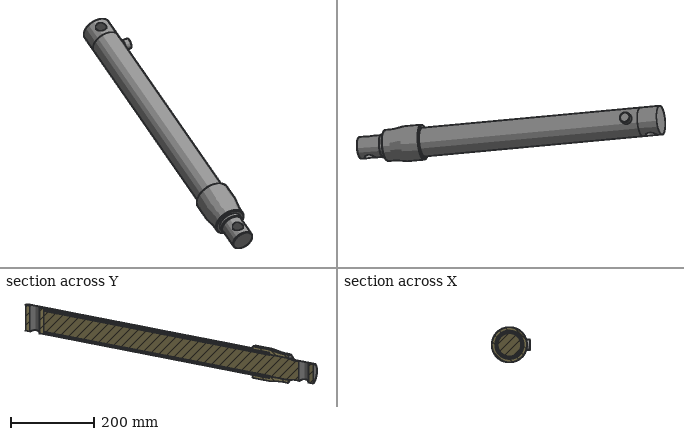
import cadquery as cq

total_length = 760.0
cap_length = 49.0
gland_start = 599.0
taper_start = 644.0
taper_end = 673.0
gland_end = 694.0
eye_start = 702.0

tube_diameter = 70.0
bore_diameter = 60.0
gland_diameter = 85.0
gland_nose_diameter = 76.0
rod_diameter = 57.0
eye_diameter = 53.0

gland_chamfer = 2.0
eye_chamfer = 1.5
port_chamfer = 1.5

pin_hole_diameter = 26.0
cap_hole_x = cap_length / 2
eye_hole_x = total_length - 26.0

port_x = 75.0
port_diameter = 26.0
port_top = 50.0


def cylinder_along_x(diameter, start, end):
    return cq.Workplane("YZ", origin=(start, 0, 0)).circle(diameter / 2).extrude(end - start)


def pin_hole(x):
    """Vertical cutter that passes right through the ram."""
    height = 2 * tube_diameter
    return cq.Workplane("XY", origin=(x, 0, -height / 2)).circle(pin_hole_diameter / 2).extrude(height)


def make_end_cap():
    """Solid end of the barrel with a mounting hole."""
    return cylinder_along_x(tube_diameter, 0, cap_length).cut(pin_hole(cap_hole_x))


def make_tube():
    """Hollow barrel from the end cap to its seat inside the gland."""
    outside = cylinder_along_x(tube_diameter, cap_length, taper_start)
    return outside.cut(cylinder_along_x(bore_diameter, cap_length, taper_start))


def make_port():
    """Round boss with a flat base resting on the side of the tube."""
    base = tube_diameter / 2
    port = cq.Workplane("XZ", origin=(port_x, base, 0)).circle(port_diameter / 2).extrude(base - port_top)
    return port.faces(">Y").chamfer(port_chamfer)


def make_gland():
    """Tapered collar around the tube end, guiding the rod through its nose."""
    gland_radius = gland_diameter / 2
    nose_radius = gland_nose_diameter / 2
    gland = (
        cq.Workplane("XY")
        .moveTo(gland_start, 0)
        .lineTo(gland_start, gland_radius - gland_chamfer)
        .lineTo(gland_start + gland_chamfer, gland_radius)
        .lineTo(taper_start, gland_radius)
        .lineTo(taper_end, nose_radius)
        .lineTo(gland_end - gland_chamfer, nose_radius)
        .lineTo(gland_end, nose_radius - gland_chamfer)
        .lineTo(gland_end, 0)
        .close()
        .revolve(360, (0, 0, 0), (1, 0, 0))
    )
    gland = gland.cut(cylinder_along_x(tube_diameter, gland_start, taper_start))
    return gland.cut(cylinder_along_x(rod_diameter, taper_start, gland_end))


def make_rod():
    """Ram rod resting on the end cap, with a reduced eye at its outer end."""
    eye = cylinder_along_x(eye_diameter, eye_start, total_length).faces(">X").chamfer(eye_chamfer)
    shoulder = (rod_diameter - eye_diameter) / 2
    shank = cylinder_along_x(rod_diameter, cap_length, eye_start + shoulder)
    shank = shank.faces(">X").chamfer(shoulder)
    return shank.union(eye).cut(pin_hole(eye_hole_x))


end_cap = make_end_cap()
tube = make_tube()
port = make_port()
gland = make_gland()
rod = make_rod()

result = cq.Compound.makeCompound([end_cap.val(), tube.val(), port.val(), gland.val(), rod.val()])